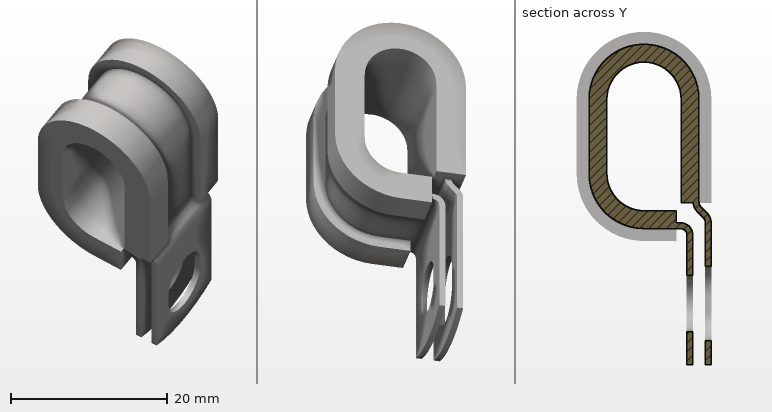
import math

import cadquery as cq

diagonal = math.sqrt(0.5)

cushion_width = 15.75
bore_radius = 4.72
cushion_thickness = 3.91
loop_straight = 9.525
end_gap = 0.97
lower_arm_reach = 4.16

strap_width = 12.7
strap_thickness = 0.8
groove_width = 7.55
groove_depth = 1.56
bend_radius = strap_thickness
jog_bend_radius = 1.0
jog_angle = math.radians(45)
jog_embed = 0.15

leg_gap = 1.56
leg_drop = 15.895
leg_tip_radius = leg_drop
hole_diameter = 7.14
hole_drop = 8.0
slot_length = 9.5

outer_radius = bore_radius + cushion_thickness
strap_outer_radius = outer_radius - groove_depth
strap_inner_radius = strap_outer_radius - strap_thickness
cushion_bottom = -outer_radius
long_arm_end = end_gap - bore_radius
leg_tip = cushion_bottom - leg_drop
long_leg_inner_x = outer_radius - strap_thickness
short_leg_outer_x = long_leg_inner_x - leg_gap
short_leg_inner_x = short_leg_outer_x - strap_thickness


def extrude_centred(profile, width):
    """Extrude an XZ profile along Y, symmetric about the XZ plane."""
    return profile.extrude(width / 2, both=True)


def loop_band(outer, inner, width):
    """J-shaped band between two radii, from the lower arm round to the end of the long arm."""
    profile = (
        cq.Workplane("XZ")
        .moveTo(lower_arm_reach, -outer)
        .lineTo(0, -outer)
        .threePointArc((-outer * diagonal, -outer * diagonal), (-outer, 0))
        .lineTo(-outer, loop_straight)
        .threePointArc((0, loop_straight + outer), (outer, loop_straight))
        .lineTo(outer, long_arm_end)
        .lineTo(inner, long_arm_end)
        .lineTo(inner, loop_straight)
        .threePointArc((0, loop_straight + inner), (-inner, loop_straight))
        .lineTo(-inner, 0)
        .threePointArc((-inner * diagonal, -inner * diagonal), (0, -inner))
        .lineTo(lower_arm_reach, -inner)
        .close()
    )
    return extrude_centred(profile, width)


def cushion():
    """Rubber loop with the groove that exposes the strap."""
    groove = loop_band(outer_radius, strap_outer_radius, groove_width)
    return loop_band(outer_radius, bore_radius, cushion_width).cut(groove)


def short_leg():
    """Leg leaving the lower arm and turning down through a right-angle bend."""
    outer_bend_radius = bend_radius + strap_thickness
    centre_x = short_leg_inner_x - bend_radius
    centre_z = -strap_outer_radius - bend_radius
    profile = (
        cq.Workplane("XZ")
        .moveTo(lower_arm_reach, -strap_inner_radius)
        .lineTo(centre_x, -strap_inner_radius)
        .threePointArc(
            (centre_x + outer_bend_radius * diagonal, centre_z + outer_bend_radius * diagonal),
            (short_leg_outer_x, centre_z),
        )
        .lineTo(short_leg_outer_x, leg_tip)
        .lineTo(short_leg_inner_x, leg_tip)
        .lineTo(short_leg_inner_x, centre_z)
        .threePointArc(
            (centre_x + bend_radius * diagonal, centre_z + bend_radius * diagonal),
            (centre_x, -strap_outer_radius),
        )
        .lineTo(lower_arm_reach, -strap_outer_radius)
        .close()
    )
    return extrude_centred(profile, strap_width)


def long_leg():
    """Leg leaving the long arm, jogging outward to the cushion's side and running straight down."""
    jog_outer_radius = jog_bend_radius + strap_thickness
    sloped_run = groove_depth - (jog_bend_radius + jog_outer_radius) * (1 - math.cos(jog_angle))
    jog_drop = (jog_bend_radius + jog_outer_radius) * math.sin(jog_angle) + sloped_run / math.tan(jog_angle)
    upper_x = strap_outer_radius + jog_bend_radius
    upper_z = long_arm_end + jog_embed
    lower_x = outer_radius - jog_outer_radius
    lower_z = upper_z - jog_drop

    def upper_bend(radius, angle):
        return (upper_x - radius * math.cos(angle), upper_z - radius * math.sin(angle))

    def lower_bend(radius, angle):
        return (lower_x + radius * math.cos(angle), lower_z + radius * math.sin(angle))

    half_angle = jog_angle / 2
    profile = (
        cq.Workplane("XZ")
        .moveTo(*upper_bend(jog_bend_radius, 0))
        .threePointArc(upper_bend(jog_bend_radius, half_angle), upper_bend(jog_bend_radius, jog_angle))
        .lineTo(*lower_bend(jog_outer_radius, jog_angle))
        .threePointArc(lower_bend(jog_outer_radius, half_angle), lower_bend(jog_outer_radius, 0))
        .lineTo(outer_radius, leg_tip)
        .lineTo(long_leg_inner_x, leg_tip)
        .lineTo(*lower_bend(jog_bend_radius, 0))
        .threePointArc(lower_bend(jog_bend_radius, half_angle), lower_bend(jog_bend_radius, jog_angle))
        .lineTo(*upper_bend(jog_outer_radius, jog_angle))
        .threePointArc(upper_bend(jog_outer_radius, half_angle), upper_bend(jog_outer_radius, 0))
        .close()
    )
    return extrude_centred(profile, strap_width)


def trim_leg(leg):
    """Round the tip of a leg to an arc across its width."""
    half_width = strap_width / 2
    tip_centre_z = leg_tip + leg_tip_radius
    corner_z = tip_centre_z - math.sqrt(leg_tip_radius**2 - half_width**2)
    outline = (
        cq.Workplane("YZ")
        .moveTo(-half_width, 0)
        .lineTo(-half_width, corner_z)
        .threePointArc((0, leg_tip), (half_width, corner_z))
        .lineTo(half_width, 0)
        .close()
        .extrude(outer_radius)
    )
    return leg.intersect(outline)


def bolt_opening():
    """Workplane facing along X, centred on the bolt axis."""
    return cq.Workplane("YZ").center(0, cushion_bottom - hole_drop)


round_hole = bolt_opening().circle(hole_diameter / 2).extrude(outer_radius)
upright_slot = bolt_opening().slot2D(slot_length, hole_diameter, 90).extrude(outer_radius)

short_mounting_leg = trim_leg(short_leg()).cut(round_hole)
long_mounting_leg = trim_leg(long_leg()).cut(upright_slot)
result = cushion().union(short_mounting_leg).union(long_mounting_leg)